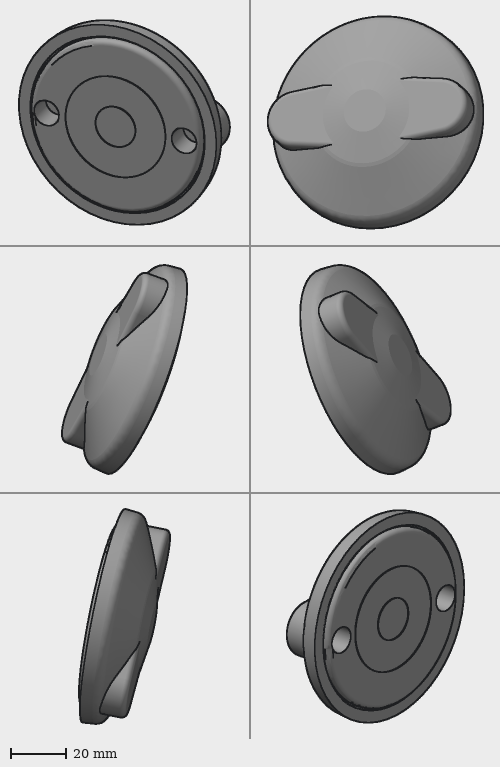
import cadquery as cq
import math


rim_radius = 39.5
rim_edge_height = 0.5
corner_radius = 38.95
corner_height = 6.9
shoulder_fillet = 4.0
cap_radius = 20.0
cap_base_height = 15.9
cap_blend = 5.05
crown_radius = 8.0
crown_height = 18.0

pad_height = 2.0
pad_radius = 34.1
pad_fillet = 2.0
groove_radius = 34.9
groove_depth = 1.0

recess_depth = 0.3
recess_radius = cap_radius
centre_disc_radius = crown_radius

bar_start = 3.95
bar_height = 16.5
bar_end_radius = 10.5
bar_middle_radius = 14.0
bar_fillet = 2.0
hole_spacing = 55.0
hole_radius = 5.0
hole_depth = 10.0

pad_face = -pad_height
end_offset = hole_spacing / 2


def cylinder_along_y(radius, start, length):
    """Cylinder centred on the Y axis, running from start towards +Y."""
    return cq.Workplane("XZ", origin=(0, start, 0)).circle(radius).extrude(-length)


def edges_at_height(height):
    """Selector for the circular edges lying at one height along Y."""
    margin = 0.1
    return cq.selectors.BoxSelector(
        (-rim_radius - margin, height - margin, -rim_radius - margin),
        (rim_radius + margin, height + margin, rim_radius + margin),
        boundingbox=True,
    )


def make_body():
    """Revolved rim, rounded shoulder, cone and flat-topped crown."""
    profile = [
        (0, 0),
        (rim_radius, 0),
        (rim_radius, rim_edge_height),
        (corner_radius, corner_height),
        (cap_radius, cap_base_height),
        (crown_radius, crown_height),
        (0, crown_height),
    ]
    body = cq.Workplane("XY").polyline(profile).close().revolve(360, (0, 0), (0, 1))
    body = body.edges(edges_at_height(corner_height)).fillet(shoulder_fillet)
    return body.edges(edges_at_height(cap_base_height)).fillet(cap_blend)


def make_crossbar():
    """Bar tapering from its middle to round ends, with straight tangent sides."""
    taper_sine = (bar_middle_radius - bar_end_radius) / end_offset
    taper_cosine = math.sqrt(1 - taper_sine**2)
    middle_width = bar_middle_radius / taper_cosine
    tangent_x = end_offset + bar_end_radius * taper_sine
    tangent_z = bar_end_radius * taper_cosine
    tip_x = end_offset + bar_end_radius
    bar = (
        cq.Workplane("XZ")
        .moveTo(0, middle_width)
        .lineTo(tangent_x, tangent_z)
        .threePointArc((tip_x, 0), (tangent_x, -tangent_z))
        .lineTo(0, -middle_width)
        .lineTo(-tangent_x, -tangent_z)
        .threePointArc((-tip_x, 0), (-tangent_x, tangent_z))
        .close()
        .extrude(-bar_height)
    )
    bar = bar.intersect(cylinder_along_y(rim_radius, bar_start, bar_height))
    return bar.faces(">Y").edges().fillet(bar_fillet)


def make_pad():
    """Round pad with a rounded front edge, seated on the groove floor."""
    pad = cylinder_along_y(pad_radius, pad_face, pad_height + groove_depth)
    return pad.faces("<Y").edges().fillet(pad_fillet)


def make_ring_recess():
    """Ring removed from the pad face around the centre disc."""
    outer = cylinder_along_y(recess_radius, pad_face, recess_depth)
    return outer.cut(cylinder_along_y(centre_disc_radius, pad_face, recess_depth))


part = make_body().union(make_crossbar())
part = part.cut(cylinder_along_y(groove_radius, 0, groove_depth))
part = part.union(make_pad()).cut(make_ring_recess())

for side in (-1, 1):
    hole = cylinder_along_y(hole_radius, pad_face, hole_depth)
    part = part.cut(hole.translate((side * end_offset, 0, 0)))

result = part